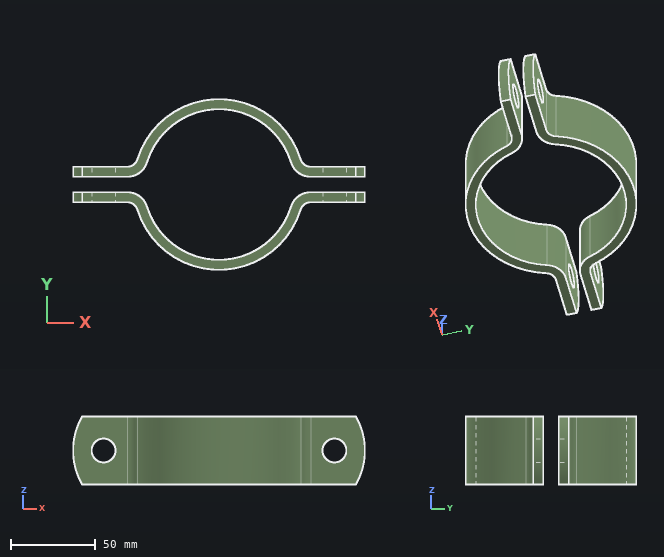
import cadquery as cq
import math

length = 172.0
ring_diameter = 100.6
strip_width = 40.0
thickness = 6.0
gap = 9.0
bend_radius = 6.2
ear_end_radius = 40.0
hole_diameter = 14.0
hole_spacing = 135.9

ring_outer = ring_diameter / 2
ring_inner = ring_outer - thickness
ear_inner_y = gap / 2
ear_outer_y = ear_inner_y + thickness
tip_x = length / 2

bend_y = ear_outer_y + bend_radius
bend_x = math.sqrt((ring_outer + bend_radius) ** 2 - bend_y ** 2)
bend_angle = math.atan2(bend_y, bend_x)
mid_bend_angle = (bend_angle + math.pi / 2) / 2


def ring_point(radius):
    """Point at which the ring meets the right-hand bend."""
    return radius * math.cos(bend_angle), radius * math.sin(bend_angle)


def bend_middle(radius):
    """Middle of a bend arc around the right-hand bend centre."""
    return bend_x - radius * math.cos(mid_bend_angle), bend_y - radius * math.sin(mid_bend_angle)


def mirrored(point):
    """Matching point on the left-hand side."""
    return -point[0], point[1]


def bent_strip():
    """Half ring with two bent-out ears, on the +Y side."""
    outer_joint = ring_point(ring_outer)
    inner_joint = ring_point(ring_inner)
    outer_middle = bend_middle(bend_radius)
    inner_middle = bend_middle(bend_radius + thickness)
    return (
        cq.Workplane("XY")
        .moveTo(tip_x, ear_outer_y)
        .lineTo(bend_x, ear_outer_y)
        .threePointArc(outer_middle, outer_joint)
        .threePointArc((0, ring_outer), mirrored(outer_joint))
        .threePointArc(mirrored(outer_middle), (-bend_x, ear_outer_y))
        .lineTo(-tip_x, ear_outer_y)
        .lineTo(-tip_x, ear_inner_y)
        .lineTo(-bend_x, ear_inner_y)
        .threePointArc(mirrored(inner_middle), mirrored(inner_joint))
        .threePointArc((0, ring_inner), inner_joint)
        .threePointArc(inner_middle, (bend_x, ear_inner_y))
        .lineTo(tip_x, ear_inner_y)
        .close()
        .extrude(strip_width / 2, both=True)
    )


def rounded_ends():
    """Block with arched ends that trims the ear tips."""
    half_width = strip_width / 2
    edge_x = tip_x - ear_end_radius + math.sqrt(ear_end_radius ** 2 - half_width ** 2)
    return (
        cq.Workplane("XZ")
        .moveTo(-edge_x, -half_width)
        .lineTo(edge_x, -half_width)
        .threePointArc((tip_x, 0), (edge_x, half_width))
        .lineTo(-edge_x, half_width)
        .threePointArc((-tip_x, 0), (-edge_x, -half_width))
        .close()
        .extrude(ring_diameter, both=True)
    )


def bolt_holes():
    """Cylinders through both ears, along Y."""
    return (
        cq.Workplane("XZ")
        .pushPoints([(-hole_spacing / 2, 0), (hole_spacing / 2, 0)])
        .circle(hole_diameter / 2)
        .extrude(ear_outer_y, both=True)
    )


def clamp_half(turn):
    """One clamp half, turned about Z by the given angle in degrees."""
    half = bent_strip().intersect(rounded_ends()).cut(bolt_holes())
    return half.rotate((0, 0, 0), (0, 0, 1), turn)


clamp_halves = [clamp_half(turn) for turn in (0, 180)]

result = cq.Compound.makeCompound([half.solids().val() for half in clamp_halves])